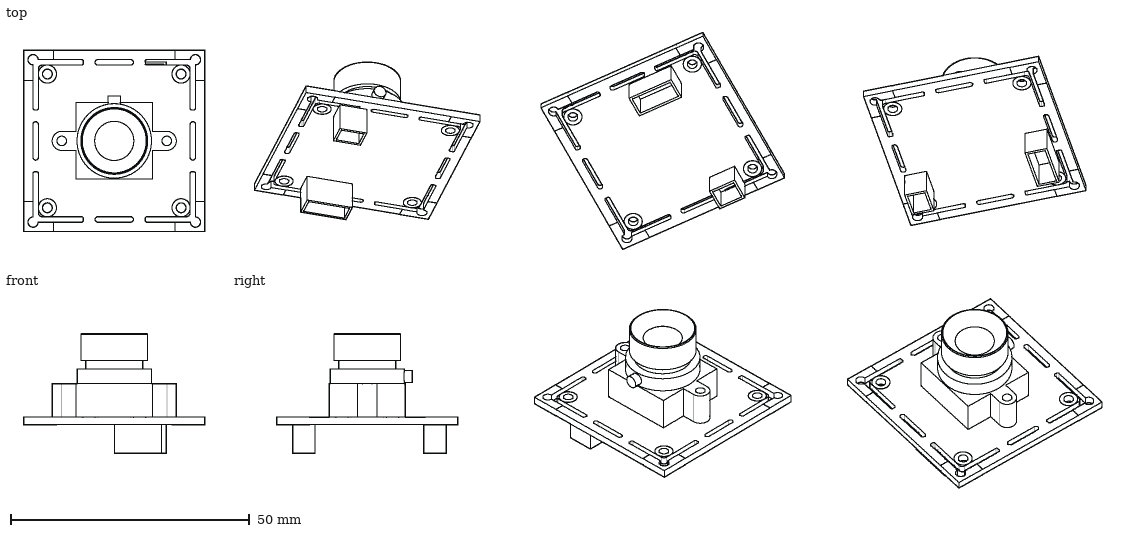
import cadquery as cq
import math

BOARD_SIZE = 38.0
BOARD_THICKNESS = 1.6
PAD_THICKNESS = 0.05
CORNER_PAD_SIZE = 6.3
CUT_DEPTH = 2 * BOARD_THICKNESS

HOLE_OFFSET = 14.0
HOLE_DIAMETER = 2.0
RING_PAD_DIAMETER = 3.8

SLOT_INNER = HOLE_OFFSET + RING_PAD_DIAMETER / 2
SLOT_WIDTH = 1.1
SLOT_OUTER = SLOT_INNER + SLOT_WIDTH
MIDDLE_SLOT_LENGTH = 8.0
CORNER_SLOT_END = 6.5
SLOT_END_RADIUS = 0.3
INNER_CORNER_RADIUS = 0.8
RELIEF_DIAMETER = 2.1

HOLDER_SIZE = 16.0
HOLDER_HEIGHT = 7.0
LUG_OFFSET = 11.0
LUG_WIDTH = 4.0
LUG_HOLE_DIAMETER = 2.0

COLLAR_DIAMETER = 15.6
COLLAR_HEIGHT = 3.1
NECK_DIAMETER = 12.0
NECK_HEIGHT = 1.75
HEAD_DIAMETER = 14.0
HEAD_HEIGHT = 5.67
HEAD_CHAMFER = 0.2
CONE_TOP_DIAMETER = 13.4
LENS_DIAMETER = 8.2
LENS_DEPTH = 2.45
LENS_RISE = 1.65

SCREW_DIAMETER = 2.6
SCREW_REACH = 9.45
SCREW_HEIGHT = 1.5

CONNECTOR_WIDTH = 4.75
CONNECTOR_HEIGHT = 6.0
CONNECTOR_WALL = 0.5
FRONT_CONNECTOR_CORNER = (0.0, -15.65)
FRONT_CONNECTOR_LENGTH = 9.9
REAR_CONNECTOR_CORNER = (5.0, 11.8)
REAR_CONNECTOR_LENGTH = 5.9

QUARTER_TURNS = (0, 90, 180, 270)
Z_AXIS = ((0, 0, 0), (0, 0, 1))


def box(x_min, y_min, z_min, length, width, height):
    corner = (x_min, y_min, z_min)
    return cq.Workplane("XY").box(length, width, height, centered=False).translate(corner)


def disc(diameter, height, z_min, x=0.0, y=0.0):
    return cq.Workplane("XY", origin=(x, y, z_min)).circle(diameter / 2).extrude(height)


def corner_slot():
    """L-shaped slot round the (+X, +Y) corner, with its corner relief."""
    leg = SLOT_OUTER - CORNER_SLOT_END
    z_min = -CUT_DEPTH
    along_x = box(CORNER_SLOT_END, SLOT_INNER, z_min, leg, SLOT_WIDTH, 2 * CUT_DEPTH)
    along_x = along_x.edges("|Z and <X").fillet(SLOT_END_RADIUS)
    along_y = box(SLOT_INNER, CORNER_SLOT_END, z_min, SLOT_WIDTH, leg, 2 * CUT_DEPTH)
    along_y = along_y.edges("|Z and <Y").fillet(SLOT_END_RADIUS)
    slot = along_x.union(along_y)
    inner_corner = cq.selectors.NearestToPointSelector((SLOT_INNER, SLOT_INNER, 0))
    slot = slot.edges("|Z").edges(inner_corner).fillet(INNER_CORNER_RADIUS)
    return slot.union(disc(RELIEF_DIAMETER, 2 * CUT_DEPTH, z_min, SLOT_OUTER, SLOT_OUTER))


def middle_slot():
    """Round-ended slot halfway along the +Y side."""
    y = (SLOT_INNER + SLOT_OUTER) / 2
    plane = cq.Workplane("XY", origin=(0, y, -CUT_DEPTH))
    return plane.slot2D(MIDDLE_SLOT_LENGTH, SLOT_WIDTH).extrude(2 * CUT_DEPTH)


def corner_pads():
    """Frame and ring pads on both faces of the board at the (+X, +Y) corner."""
    pad_bottom = -BOARD_THICKNESS - PAD_THICKNESS
    start = BOARD_SIZE / 2 - CORNER_PAD_SIZE
    pad = box(start, start, pad_bottom, CORNER_PAD_SIZE, CORNER_PAD_SIZE, PAD_THICKNESS)
    inside = SLOT_INNER - start
    pad = pad.cut(box(start, start, pad_bottom, inside, inside, PAD_THICKNESS))
    ring = disc(RING_PAD_DIAMETER, PAD_THICKNESS, pad_bottom, HOLE_OFFSET, HOLE_OFFSET)
    lower_pads = pad.union(ring)
    upper_pads = lower_pads.translate((0, 0, BOARD_THICKNESS + PAD_THICKNESS))
    return lower_pads.union(upper_pads)


def make_board():
    half = BOARD_SIZE / 2
    board = box(-half, -half, -BOARD_THICKNESS, BOARD_SIZE, BOARD_SIZE, BOARD_THICKNESS)
    hole = disc(HOLE_DIAMETER, 2 * CUT_DEPTH, -CUT_DEPTH, HOLE_OFFSET, HOLE_OFFSET)
    cutter = corner_slot().union(middle_slot()).union(hole)
    pads = corner_pads()
    for angle in QUARTER_TURNS:
        board = board.union(pads.rotate(*Z_AXIS, angle))
    for angle in QUARTER_TURNS:
        board = board.cut(cutter.rotate(*Z_AXIS, angle))
    return board


def make_holder():
    plane = cq.Workplane("XY")
    block = plane.rect(HOLDER_SIZE, HOLDER_SIZE).extrude(HOLDER_HEIGHT)
    lugs = plane.slot2D(2 * LUG_OFFSET + LUG_WIDTH, LUG_WIDTH).extrude(HOLDER_HEIGHT)
    holder = block.union(lugs)
    for x in (-LUG_OFFSET, LUG_OFFSET):
        holder = holder.cut(disc(LUG_HOLE_DIAMETER, HOLDER_HEIGHT, 0, x))
    return holder


def make_barrel():
    """Collar, neck and head turned about Z, with a conical mouth and a domed lens."""
    collar_top = HOLDER_HEIGHT + COLLAR_HEIGHT
    neck_top = collar_top + NECK_HEIGHT
    top = neck_top + HEAD_HEIGHT
    lens_rim = top - LENS_DEPTH
    lens_radius = LENS_DIAMETER / 2
    dome_radius = (lens_radius**2 + LENS_RISE**2) / (2 * LENS_RISE)
    half_angle = math.asin(lens_radius / dome_radius) / 2
    dome_middle_x = dome_radius * math.sin(half_angle)
    dome_middle_z = lens_rim + LENS_RISE - dome_radius * (1 - math.cos(half_angle))
    profile = (
        cq.Workplane("XZ")
        .moveTo(0, HOLDER_HEIGHT)
        .lineTo(COLLAR_DIAMETER / 2, HOLDER_HEIGHT)
        .lineTo(COLLAR_DIAMETER / 2, collar_top)
        .lineTo(NECK_DIAMETER / 2, collar_top)
        .lineTo(NECK_DIAMETER / 2, neck_top)
        .lineTo(HEAD_DIAMETER / 2, neck_top)
        .lineTo(HEAD_DIAMETER / 2, top - HEAD_CHAMFER)
        .lineTo(HEAD_DIAMETER / 2 - HEAD_CHAMFER, top)
        .lineTo(CONE_TOP_DIAMETER / 2, top)
        .lineTo(lens_radius, lens_rim)
        .threePointArc((dome_middle_x, dome_middle_z), (0, lens_rim + LENS_RISE))
        .close()
    )
    return profile.revolve(360, (0, 0, 0), (0, 1, 0))


def make_screw():
    plane = cq.Workplane("XZ", origin=(0, 0, HOLDER_HEIGHT + SCREW_HEIGHT))
    return plane.circle(SCREW_DIAMETER / 2).extrude(-SCREW_REACH)


def make_connector(corner, length):
    """Rectangular shell under the board, with the board closing its upper end."""
    z_min = -BOARD_THICKNESS - CONNECTOR_HEIGHT
    shell = box(*corner, z_min, length, CONNECTOR_WIDTH, CONNECTOR_HEIGHT)
    socket = box(
        corner[0] + CONNECTOR_WALL,
        corner[1] + CONNECTOR_WALL,
        z_min,
        length - 2 * CONNECTOR_WALL,
        CONNECTOR_WIDTH - 2 * CONNECTOR_WALL,
        CONNECTOR_HEIGHT,
    )
    return shell.cut(socket)


front_connector = make_connector(FRONT_CONNECTOR_CORNER, FRONT_CONNECTOR_LENGTH)
rear_connector = make_connector(REAR_CONNECTOR_CORNER, REAR_CONNECTOR_LENGTH)

result = make_board().union(make_holder()).union(make_barrel()).union(make_screw())
result = result.union(front_connector).union(rear_connector)